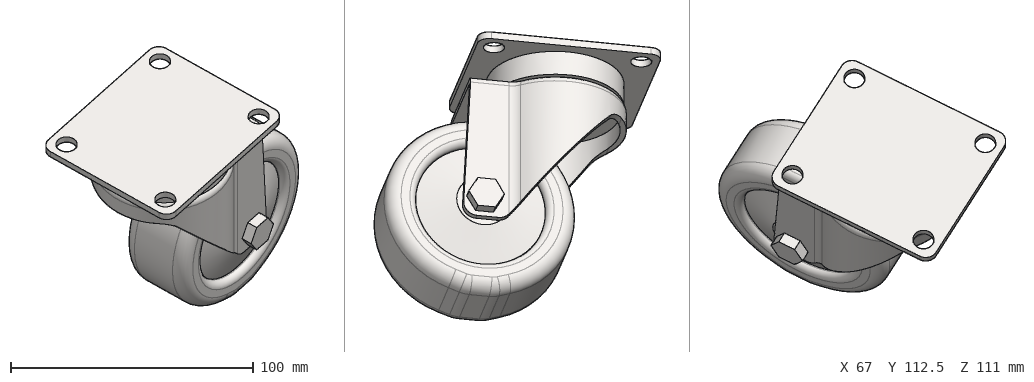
import cadquery as cq
import math


total_height = 111.0

wheel_radius = 40.0
wheel_width = 32.0
tread_fillet = 6.0
trail = 34.0
axle_height = 40.2
foot_flat_half = 4.2
foot_arc_radius = 12.9
rim_radius = 27.3
rim_fillet = 3.0
hub_radius = 11.0
hub_width = 35.4
disc_recess = 3.6
axle_radius = 4.0
hex_across_flats = 12.9
hex_span = 51.1

plate_x = 67.0
plate_y = 77.0
plate_thickness = 3.2
plate_corner = 5.0
hole_spacing_x = 52.0
hole_spacing_y = 62.0
hole_diameter = 8.7

collar_radius = 28.5
collar_height = 10.7
neck_radius = 25.9
neck_gap = 0.6

fork_radius = 29.5
fork_wall = 2.6
fork_half_width = 20.8
fork_blend = 7.0
fork_top_fillet = 3.0
fork_back_top = 39.6
fork_back_bottom = 43.0
fork_bottom = 31.5
front_rim_bottom = 86.1
slant_angle = 49.6
slant_height_at_axis = 61.3
front_arch_radius = 8.0
leg_front_corner = 5.8
leg_back_corner = 5.6

plate_bottom = total_height - plate_thickness
collar_bottom = plate_bottom - collar_height
fork_top = collar_bottom - neck_gap
past_fork = 2 * fork_radius


def make_plate():
    return (
        cq.Workplane("XY", origin=(0, 0, plate_bottom))
        .rect(plate_x, plate_y)
        .extrude(plate_thickness)
        .edges("|Z")
        .fillet(plate_corner)
        .faces(">Z")
        .workplane(origin=(0, 0, total_height))
        .rect(hole_spacing_x, hole_spacing_y, forConstruction=True)
        .vertices()
        .hole(hole_diameter)
    )


def make_collar():
    collar = cq.Workplane("XY", origin=(0, 0, collar_bottom)).circle(collar_radius).extrude(collar_height)
    neck = cq.Workplane("XY", origin=(0, 0, fork_top)).circle(neck_radius).extrude(neck_gap)
    return collar.union(neck)


def fork_plan(inset, top):
    """Solid under the U-shaped plan: a round front blended by concave arcs into two parallel legs."""
    front_radius = fork_radius - inset
    leg_x = fork_half_width - inset
    blend = fork_blend + inset
    center_x = leg_x + blend
    center_y = math.sqrt((front_radius + blend) ** 2 - center_x**2)
    shrink = front_radius / (front_radius + blend)
    joint_x = center_x * shrink
    joint_y = center_y * shrink
    mid_angle = math.pi + math.atan2(center_y, center_x) / 2
    mid_x = center_x + blend * math.cos(mid_angle)
    mid_y = center_y + blend * math.sin(mid_angle)
    return (
        cq.Workplane("XY")
        .moveTo(leg_x, past_fork)
        .lineTo(leg_x, center_y)
        .threePointArc((mid_x, mid_y), (joint_x, joint_y))
        .threePointArc((0, -front_radius), (-joint_x, joint_y))
        .threePointArc((-mid_x, mid_y), (-leg_x, center_y))
        .lineTo(-leg_x, past_fork)
        .close()
        .extrude(top)
    )


def fork_side_profile():
    """Slab across the full width whose outline bounds the fork in Y and Z."""
    slope = math.tan(math.radians(slant_angle))
    front_corner_y = (slant_height_at_axis - fork_bottom) / slope
    arch_y = (slant_height_at_axis - front_rim_bottom) / slope
    slab = (
        cq.Workplane("YZ")
        .polyline([
            (-past_fork, fork_top),
            (fork_back_top, fork_top),
            (fork_back_bottom, fork_bottom),
            (front_corner_y, fork_bottom),
            (arch_y, front_rim_bottom),
            (-past_fork, front_rim_bottom),
        ])
        .close()
        .extrude(past_fork, both=True)
    )
    corners = (
        (fork_back_bottom, fork_bottom, leg_back_corner),
        (front_corner_y, fork_bottom, leg_front_corner),
        (arch_y, front_rim_bottom, front_arch_radius),
    )
    for y, z, radius in corners:
        slab = slab.edges(cq.selectors.NearestToPointSelector((0, y, z))).fillet(radius)
    return slab


def make_fork():
    outer = fork_plan(0, fork_top).faces(">Z").edges("not >Y").fillet(fork_top_fillet)
    inner = fork_plan(fork_wall, fork_top - fork_wall)
    return outer.cut(inner).intersect(fork_side_profile())


def wheel_tread():
    """Round tread with a short flat foot on the floor, blended in by arcs and tangent lines."""
    arc_center_drop = axle_height - foot_arc_radius
    arc_center_distance = math.hypot(foot_flat_half, arc_center_drop)
    tangent_angle = math.atan2(foot_flat_half, arc_center_drop) + math.acos(
        (wheel_radius - foot_arc_radius) / arc_center_distance
    )

    def on_foot_arc(angle):
        return (
            foot_flat_half + foot_arc_radius * math.sin(angle),
            -arc_center_drop - foot_arc_radius * math.cos(angle),
        )

    def mirrored(point):
        return (-point[0], point[1])

    rim_point = (wheel_radius * math.sin(tangent_angle), -wheel_radius * math.cos(tangent_angle))
    foot_end = on_foot_arc(0)
    foot_mid = on_foot_arc(tangent_angle / 2)
    foot_start = on_foot_arc(tangent_angle)
    return (
        cq.Workplane("YZ", origin=(-wheel_width / 2, trail, axle_height))
        .moveTo(*rim_point)
        .threePointArc((0, wheel_radius), mirrored(rim_point))
        .lineTo(*mirrored(foot_start))
        .threePointArc(mirrored(foot_mid), mirrored(foot_end))
        .lineTo(*foot_end)
        .threePointArc(foot_mid, foot_start)
        .close()
        .extrude(wheel_width)
        .faces("<X or >X")
        .edges()
        .fillet(tread_fillet)
    )


def turned(profile):
    """Revolve a profile of (distance along the axle, radius) points about the axle."""
    return (
        cq.Workplane("XY", origin=(0, trail, axle_height))
        .polyline(profile)
        .close()
        .revolve(360, (0, 0, 0), (1, 0, 0))
    )


def make_wheel():
    face = wheel_width / 2
    hub_face = hub_width / 2
    disc_edge = face - disc_recess
    recess = cq.Workplane("YZ", origin=(0, trail, axle_height)).circle(rim_radius).extrude(past_fork, both=True)
    rim = wheel_tread().cut(recess)
    for side in (-face, face):
        rim_edge = cq.selectors.NearestToPointSelector((side, trail, axle_height))
        rim = rim.edges(rim_edge).fillet(rim_fillet)
    disc = turned([
        (-hub_face, 0),
        (-hub_face, hub_radius),
        (-disc_edge, rim_radius),
        (disc_edge, rim_radius),
        (hub_face, hub_radius),
        (hub_face, 0),
    ])
    return rim.union(disc)


def make_bolt():
    """Axle between the legs with a hexagon at each end, corners pointing along Y."""
    axle_center = cq.Workplane("YZ", origin=(0, trail, axle_height))
    axle = axle_center.circle(axle_radius).extrude(fork_half_width, both=True)
    hex_corners = hex_across_flats / math.cos(math.radians(30))
    hexes = axle_center.polygon(6, hex_corners).extrude(hex_span / 2, both=True)
    between_legs = cq.Workplane("XY", origin=(0, trail, axle_height)).box(
        2 * fork_half_width, hex_corners, hex_corners
    )
    return axle.union(hexes.cut(between_legs))


result = (
    make_plate()
    .union(make_collar())
    .union(make_fork())
    .union(make_wheel())
    .union(make_bolt())
)